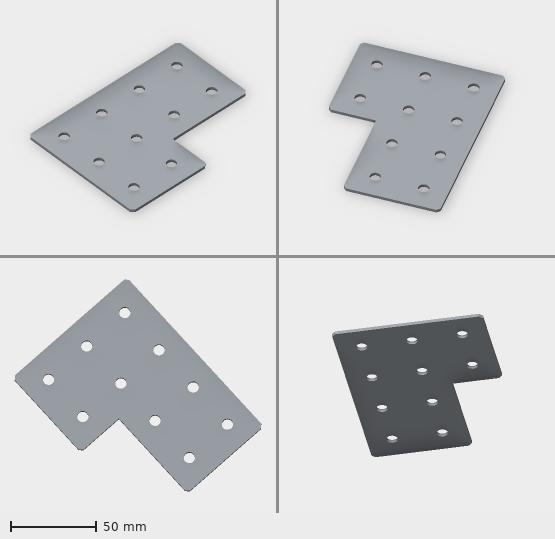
import cadquery as cq

pitch = 30.0
columns = 3
rows = 4
foot_rows = 2
upright_columns = 2
thickness = 2.0
hole_diameter = 6.6
corner_chamfer = 2.0

width = columns * pitch
length = rows * pitch
foot_length = foot_rows * pitch
upright_width = upright_columns * pitch


def l_plate():
    """L-shaped plate with its outer corners cut off and its inner corner sharp."""
    foot = cq.Workplane("XY").box(width, foot_length, thickness, centered=False)
    upright = cq.Workplane("XY").box(upright_width, length, thickness, centered=False)
    plate = foot.union(upright).clean()
    inner_corner = cq.selectors.BoxSelector(
        (upright_width - 1.2, foot_length - 1.2, -1.2),
        (upright_width + 1.2, foot_length + 1.2, thickness + 1.2),
    )
    outer_corners = cq.selectors.SubtractSelector(
        cq.selectors.ParallelDirSelector(cq.Vector(0, 0, 1)), inner_corner
    )
    return plate.edges(outer_corners).chamfer(corner_chamfer)


def hole_centers():
    """Center of every grid cell that the plate covers."""
    return [
        ((column + 0.5) * pitch, (row + 0.5) * pitch)
        for column in range(columns)
        for row in range(rows)
        if column < upright_columns or row < foot_rows
    ]


holes = (
    cq.Workplane("XY")
    .pushPoints(hole_centers())
    .circle(hole_diameter / 2)
    .extrude(thickness)
)
result = l_plate().cut(holes)